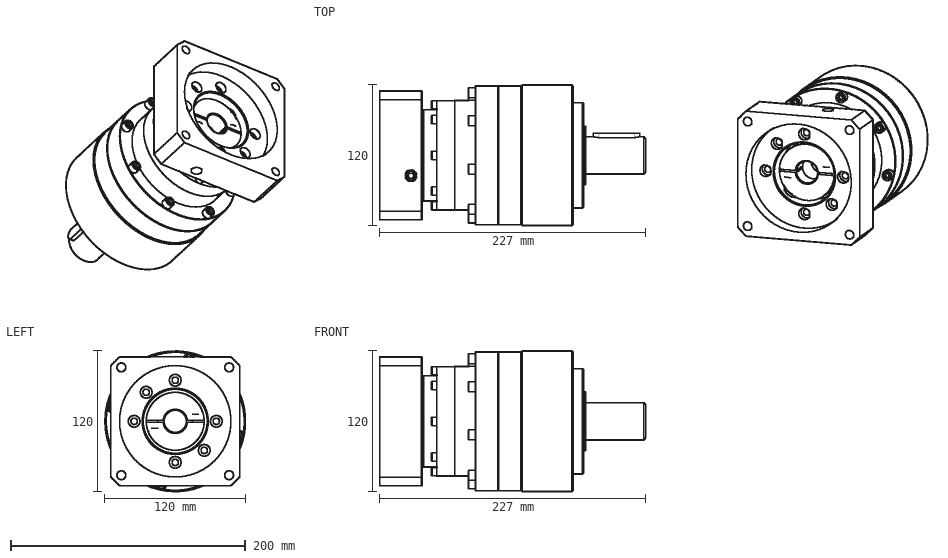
import cadquery as cq
import math


flange_size = 110.0
flange_length = 36.5
flange_corner_cut = 7.5
flange_back_chamfer = 0.8
flange_boss_length = 1.3
recess_diameter = 95.0
recess_depth = 15.0
flange_bore_diameter = 54.6
flange_bore_chamfer = 0.9
motor_bolt_circle = 130.0
motor_hole_diameter = 7.5
motor_hole_depth = 20.0
drill_point_angle = 118.0

mount_circle = 70.0
mount_angles = [0, 45, 90, 180, 225, 270]
mount_bore_diameter = 10.0
mount_bore_depth = 6.0
mount_hole_diameter = 5.5
mount_thread_depth = 8.0

hub_diameter = 49.4
hub_front = 21.3
hub_slot_width = 1.7
hub_slot_end = 30.0
hub_slot_step_diameter = 29.4
hub_slot_inner_end = 35.0
motor_shaft_diameter = 19.0
motor_shaft_chamfer = 0.8
motor_shaft_end = 60.0
clamp_screw_x = 26.8
clamp_screw_offset = 17.3
clamp_access_diameter = 9.3
clamp_pocket_diameter = 10.6
clamp_seat_height = 5.9
clamp_head_diameter = 7.6
clamp_head_height = 5.0
clamp_hex_size = 4.5

gearbox_front = flange_length + flange_boss_length
input_ring_front = 49.0
stage_line = 64.0
housing_front = 81.7
stage_groove = 101.3
output_groove = 120.6
output_front = 121.8
output_back = 165.0
cap_back = 174.0
seal_back = 176.0
shaft_end = 227.0

neck_diameter = 78.0
input_ring_diameter = 93.4
input_stage_diameter = 93.6
housing_diameter = 118.6
output_diameter = 120.0
cap_diameter = 90.0
seal_diameter = 50.0
shaft_diameter = 32.0
edge_break = 0.5
output_chamfer = 1.2
cap_chamfer = 1.0
shaft_chamfer = 1.8

screws_per_ring = 8
screw_chamfer = 0.6
input_screw_circle = 86.0
input_screw_diameter = 7.2
input_screw_height = 4.8
input_screw_hex = 3.0
housing_screw_circle = 109.4
housing_screw_diameter = 8.5
housing_screw_height = 6.1
housing_screw_hex = 4.0
housing_screw_start = 12.3

key_width = 10.0
key_length = 40.0
key_start = 182.0
key_top = 19.0


def rod(x_start, x_end, diameter, y=0.0, z=0.0):
    """Cylinder parallel to X."""
    return cq.Workplane("YZ", origin=(x_start, y, z)).circle(diameter / 2).extrude(x_end - x_start)


def drilled_hole(x_start, x_end, diameter, y, z):
    """Blind hole along X that ends in a drill point beyond x_end."""
    radius = diameter / 2
    point_length = radius / math.tan(math.radians(drill_point_angle / 2))
    point = cq.Solid.makeCone(radius, 0, point_length, cq.Vector(x_end, y, z), cq.Vector(1, 0, 0))
    return rod(x_start, x_end, diameter, y, z).union(cq.Workplane(point))


def on_circle(diameter, angle):
    """Y and Z of a place on a circle about the X axis, angle in degrees from +Y toward +Z."""
    turn = math.radians(angle)
    return diameter / 2 * math.cos(turn), diameter / 2 * math.sin(turn)


def across_corners(hex_size):
    return hex_size / math.cos(math.pi / 6)


def make_flange():
    flange = (
        cq.Workplane("YZ")
        .rect(flange_size, flange_size)
        .extrude(flange_length)
        .edges("|X")
        .chamfer(flange_corner_cut)
        .faces(">X")
        .chamfer(flange_back_chamfer)
    )
    flange = flange.union(rod(flange_length, gearbox_front, neck_diameter))
    flange = flange.cut(rod(0, recess_depth, recess_diameter))

    bore = rod(recess_depth, gearbox_front, flange_bore_diameter)
    bore_radius = flange_bore_diameter / 2
    mouth = cq.Workplane(cq.Solid.makeCone(
        bore_radius + flange_bore_chamfer, bore_radius, flange_bore_chamfer,
        cq.Vector(recess_depth, 0, 0), cq.Vector(1, 0, 0)))
    flange = flange.cut(bore).cut(mouth)

    for angle in (45, 135, 225, 315):
        y, z = on_circle(motor_bolt_circle, angle)
        flange = flange.cut(drilled_hole(0, motor_hole_depth, motor_hole_diameter, y, z))

    for angle in mount_angles:
        y, z = on_circle(mount_circle, angle)
        flange = flange.cut(rod(recess_depth, recess_depth + mount_bore_depth, mount_bore_diameter, y, z))
        flange = flange.cut(rod(recess_depth, gearbox_front, mount_hole_diameter, y, z))

    access = (
        cq.Workplane("XY", origin=(clamp_screw_x, -clamp_screw_offset, 0))
        .circle(clamp_access_diameter / 2)
        .extrude(flange_size / 2)
    )
    for turn in (0, 180):
        flange = flange.cut(access.rotate((0, 0, 0), (1, 0, 0), turn))
    return flange


def make_hub():
    hub = rod(hub_front, gearbox_front, hub_diameter)
    hub = hub.cut(rod(hub_front, gearbox_front, motor_shaft_diameter))
    hub = hub.faces("<X").edges(cq.selectors.RadiusNthSelector(0)).chamfer(motor_shaft_chamfer)

    for width, slot_end in ((hub_diameter, hub_slot_end), (hub_slot_step_diameter, hub_slot_inner_end)):
        slot = cq.Workplane("XY", origin=(hub_front, 0, 0)).box(
            slot_end - hub_front, width, hub_slot_width, centered=(False, True, True)
        )
        hub = hub.cut(slot)

    pocket = cq.Workplane("XY", origin=(0, 0, clamp_seat_height)).circle(clamp_pocket_diameter / 2)
    pocket = pocket.extrude(hub_diameter / 2)
    screw = (
        cq.Workplane("XY", origin=(0, 0, clamp_seat_height))
        .circle(clamp_head_diameter / 2)
        .extrude(clamp_head_height)
        .faces(">Z")
        .workplane()
        .polygon(6, across_corners(clamp_hex_size))
        .cutBlind(-clamp_head_height / 2)
    )
    place = (clamp_screw_x, -clamp_screw_offset, 0)
    for turn in (0, 180):
        hub = hub.cut(pocket.translate(place).rotate((0, 0, 0), (1, 0, 0), turn))
        hub = hub.union(screw.translate(place).rotate((0, 0, 0), (1, 0, 0), turn))
    return hub


def socket_screw(seat_x, diameter, height, hex_size, y, z):
    """Screw head that stands on a face at seat_x and points toward -X."""
    head = rod(seat_x - height, seat_x, diameter, y, z).faces("<X").edges().chamfer(screw_chamfer)
    socket = (
        cq.Workplane("YZ", origin=(seat_x - height, y, z))
        .polygon(6, across_corners(hex_size))
        .extrude(height / 2)
    )
    return head.cut(socket)


def make_gearbox():
    housing_radius = housing_diameter / 2
    groove_radius = housing_radius - edge_break
    output_radius = output_diameter / 2
    cap_radius = cap_diameter / 2
    seal_radius = seal_diameter / 2
    shaft_radius = shaft_diameter / 2
    outline = [
        (gearbox_front, 0),
        (gearbox_front, neck_diameter / 2),
        (input_ring_front, neck_diameter / 2),
        (input_ring_front, input_ring_diameter / 2),
        (stage_line, input_ring_diameter / 2),
        (stage_line, input_stage_diameter / 2),
        (housing_front, input_stage_diameter / 2),
        (housing_front, groove_radius),
        (housing_front + edge_break, housing_radius),
        (stage_groove - edge_break, housing_radius),
        (stage_groove, groove_radius),
        (stage_groove + edge_break, housing_radius),
        (output_groove, housing_radius),
        (output_groove + edge_break, groove_radius),
        (output_front, output_radius),
        (output_back - output_chamfer, output_radius),
        (output_back, output_radius - output_chamfer),
        (output_back, cap_radius),
        (cap_back - cap_chamfer, cap_radius),
        (cap_back, cap_radius - cap_chamfer),
        (cap_back, seal_radius),
        (seal_back - edge_break, seal_radius),
        (seal_back, seal_radius - edge_break),
        (seal_back, shaft_radius),
        (shaft_end - shaft_chamfer, shaft_radius),
        (shaft_end, shaft_radius - shaft_chamfer),
        (shaft_end, 0),
    ]
    gearbox = cq.Workplane("XY").polyline(outline).close().revolve(360, (0, 0, 0), (1, 0, 0))

    gearbox = gearbox.cut(rod(gearbox_front, motor_shaft_end, motor_shaft_diameter))
    for angle in mount_angles:
        y, z = on_circle(mount_circle, angle)
        thread_end = gearbox_front + mount_thread_depth
        gearbox = gearbox.cut(drilled_hole(gearbox_front, thread_end, mount_hole_diameter, y, z))

    for i in range(screws_per_ring):
        step = i * 360 / screws_per_ring
        y, z = on_circle(input_screw_circle, step)
        gearbox = gearbox.union(socket_screw(
            input_ring_front, input_screw_diameter, input_screw_height, input_screw_hex, y, z))
        y, z = on_circle(housing_screw_circle, 180 + housing_screw_start + step)
        gearbox = gearbox.union(socket_screw(
            housing_front, housing_screw_diameter, housing_screw_height, housing_screw_hex, y, z))

    key = (
        cq.Workplane("XZ", origin=(key_start + key_length / 2, 0, 0))
        .slot2D(key_length, key_width)
        .extrude(-key_top)
    )
    return gearbox.union(key)


flange = make_flange()
hub = make_hub()
gearbox = make_gearbox()

result = cq.Compound.makeCompound([flange.val(), hub.val(), gearbox.val()])